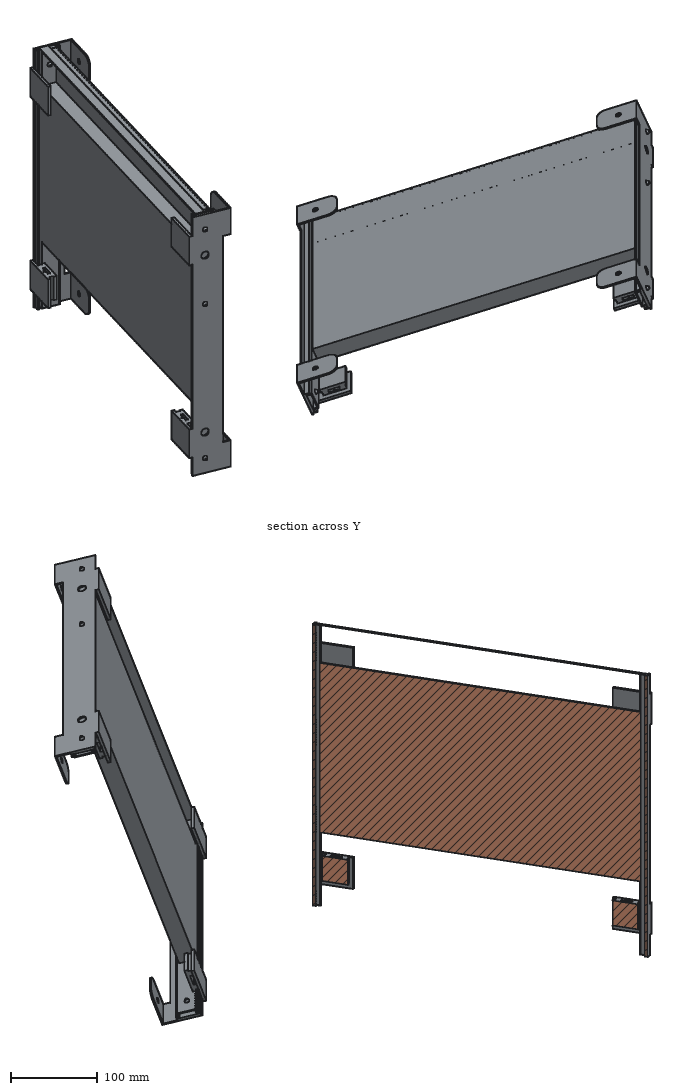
import cadquery as cq

half_width = 214.0
half_depth = 26.75
half_height = 176.0
sheet = 1.5
plate_gauge = 1.93

cover_top = half_height
plate_top = cover_top - sheet
plate_bottom = -half_height
plate_mid = (plate_top + plate_bottom) / 2

head_height = 3.0
plate_outer = half_width - head_height
plate_inner = plate_outer - plate_gauge
plate_front = -22.45
plate_back = 16.5
access_hole_diameter = 10.0
access_hole_offset = 120.0

tab_height = 35.5
tab_inner = 161.5
tab_corner = 11.0
tab_hole_diameter = 6.5
tab_hole_x = 188.5

channel_front = -20.75
channel_back = 8.0
channel_lip = 203.5

rail_outer = plate_inner - plate_gauge
rail_inner = 200.7
rail_front = -17.0
rail_back = 5.5
rail_bottom = plate_bottom + 1.5

panel_front = rail_front
panel_back = 3.2
panel_top = 128.0
panel_bottom = -83.5

cover_half_width = 207.0
cover_step = 0.5
cover_step_y = -5.0

bracket_inner = 163.5
bracket_thickness = 3.65
bracket_back = -half_depth + bracket_thickness
bracket_height = 39.0
bracket_offset = 130.5

clip_center = 182.8
clip_back = -13.9
clip_plate_front = -18.0
clip_plate_width = 32.5
clip_leg_width = 7.5
clip_leg_spacing = 21.5
clip_base_depth = 2.0
clip_slit = 1.3
clip_height = 31.5

screw_y = -6.5
screw_offset = 155.0
middle_screw_offset = 54.0
head_diameter = 6.0
crown_diameter = 2.5
shank_diameter = 4.3


def block(x0, x1, y0, y1, z0, z1):
    """Box between opposite corners."""
    return cq.Workplane("XY").box(x1 - x0, y1 - y0, z1 - z0, centered=False).translate((x0, y0, z0))


def rod(diameter, x0, x1, y, z):
    """Cylinder along X."""
    return cq.Workplane("YZ", origin=(x0, y, z)).circle(diameter / 2).extrude(x1 - x0)


def channel():
    """U-section along Z against the side plate, open towards the centre plane."""
    body = block(channel_lip, plate_inner, channel_front, channel_back, plate_bottom, plate_top)
    cavity_front = channel_front + plate_gauge
    cavity_back = channel_back - plate_gauge
    return body.cut(block(channel_lip, rail_outer, cavity_front, cavity_back, plate_bottom, plate_top))


def guide_rail():
    """U-section along Z with its web facing the panel and its flanges on the channel web."""
    body = block(rail_inner, rail_outer, rail_front, rail_back, rail_bottom, plate_top)
    cavity_front = rail_front + sheet
    cavity_back = rail_back - sheet
    return body.cut(block(rail_inner + sheet, rail_outer, cavity_front, cavity_back, rail_bottom, plate_top))


def rear_tab(z0):
    """Plate extension and inward tab with rounded free corners and a mounting hole."""
    z1 = z0 + tab_height
    arm = block(plate_inner, plate_outer, plate_back, half_depth, z0, z1)
    tab = block(tab_inner, plate_outer, half_depth - plate_gauge, half_depth, z0, z1)
    tab = tab.edges("|Y and <X").fillet(tab_corner)
    hole = (
        cq.Workplane("XZ", origin=(tab_hole_x, half_depth, (z0 + z1) / 2))
        .circle(tab_hole_diameter / 2)
        .extrude(plate_gauge)
    )
    return arm.union(tab).cut(hole)


def side_plate():
    plate = block(plate_inner, plate_outer, plate_front, plate_back, plate_bottom, plate_top)
    for side in (-1, 1):
        z = plate_mid + side * access_hole_offset
        plate = plate.cut(rod(access_hole_diameter, plate_inner, plate_outer, screw_y, z))
    for z0 in (plate_bottom, plate_top - tab_height):
        plate = plate.union(rear_tab(z0))
    return plate


def bracket(z_mid):
    """Front plate with a short return joining it to the side plate."""
    z0 = z_mid - bracket_height / 2
    z1 = z0 + bracket_height
    front = block(bracket_inner, plate_outer, -half_depth, bracket_back, z0, z1)
    return front.union(block(plate_inner, plate_outer, bracket_back, plate_front, z0, z1))


def spacer_clip(z1):
    """Back plate on two legs, tied by a slit base lying on the bracket."""
    z0 = z1 - clip_height
    half_plate = clip_plate_width / 2
    clip = block(clip_center - half_plate, clip_center + half_plate, clip_plate_front, clip_back, z0, z1)
    for side in (-1, 1):
        leg_x = clip_center + side * clip_leg_spacing / 2
        half_leg = clip_leg_width / 2
        clip = clip.union(block(leg_x - half_leg, leg_x + half_leg, bracket_back, clip_plate_front, z0, z1))
    half_base = clip_leg_spacing / 2
    base_back = bracket_back + clip_base_depth
    base = block(clip_center - half_base, clip_center + half_base, bracket_back, base_back, z0, z1)
    slit = block(clip_center - clip_slit / 2, clip_center + clip_slit / 2, bracket_back, base_back, z0, z1)
    return clip.union(base.cut(slit))


def screw_head(seat, crown, z):
    """Tapered head from its seat to its crown, both given as X positions."""
    return (
        cq.Workplane("XY")
        .moveTo(seat, 0)
        .lineTo(seat, head_diameter / 2)
        .lineTo(crown, crown_diameter / 2)
        .lineTo(crown, 0)
        .close()
        .revolve(360, (0, 0, 0), (1, 0, 0))
        .translate((0, screw_y, z))
    )


def screw(z):
    """Shank from rail to side plate with a head at each end."""
    shank = rod(shank_diameter, rail_inner, plate_outer, screw_y, z)
    outer_head = screw_head(plate_outer, half_width, z)
    return shank.union(outer_head).union(screw_head(rail_inner, rail_inner - head_height, z))


def side_assembly():
    """Everything on the +X side."""
    side = side_plate()
    side = side.union(channel())
    side = side.union(guide_rail())
    for direction in (-1, 1):
        side = side.union(bracket(plate_mid + direction * bracket_offset))
    side = side.union(spacer_clip(plate_mid - bracket_offset + bracket_height / 2))
    for offset in (-screw_offset, middle_screw_offset, screw_offset):
        side = side.union(screw(plate_mid + offset))
    return side


def panel_box():
    """Full-depth panel, thin back wall above its ledge, and the top cover."""
    panel = block(-rail_inner, rail_inner, panel_front, panel_back, panel_bottom, panel_top)
    back_wall = block(-rail_inner, rail_inner, panel_back - sheet, panel_back, panel_top, plate_top)
    cover = block(-cover_half_width, cover_half_width, panel_front, panel_back, plate_top, cover_top)
    step_bottom = cover_top - cover_step
    step = block(-cover_half_width, cover_half_width, cover_step_y, panel_back, step_bottom, cover_top)
    return panel.union(back_wall).union(cover.cut(step))


right_side = side_assembly()
left_side = right_side.mirror("YZ")
result = panel_box().union(right_side).union(left_side).clean()